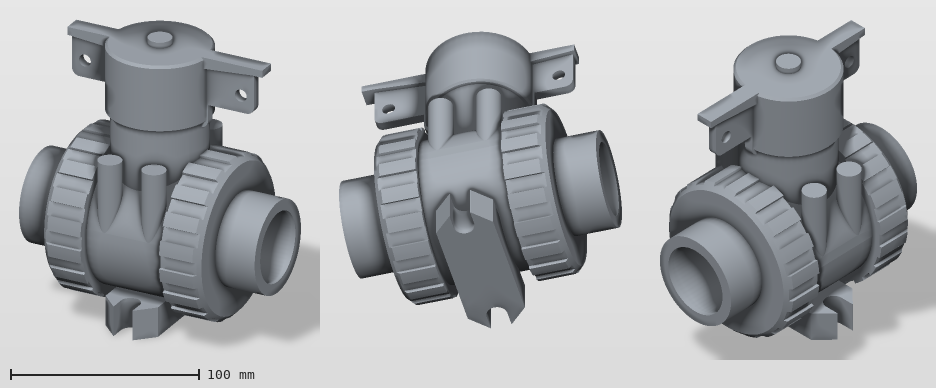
import cadquery as cq


OVERALL_HEIGHT = 159.0
PIPE_LENGTH = 141.0
PIPE_DIAMETER = 52.8
BORE_DIAMETER = 40.0
BODY_DIAMETER = 78.2

NUT_INNER_X = 23.5
NUT_OUTER_X = 47.0
NUT_ROOT_DIAMETER = 88.7
NUT_RIB_DIAMETER = 92.0
NUT_FACE_DIAMETER = 84.7
NUT_RIB_COUNT = 18
NUT_RIB_WIDTH = 8.0

NECK_DIAMETER = 52.8
CAP_DIAMETER = 58.5
CAP_BOTTOM = 65.2
CAP_TOP = 104.1
CAP_TOP_CHAMFER = 1.5
CAP_BOTTOM_CHAMFER = 1.1
BUTTON_DIAMETER = 13.4
BUTTON_TOP_DIAMETER = 13.0
BUTTON_TOP = 107.8

BAR_WIDTH = 10.2
BAR_LEFT = -52.8
BAR_RIGHT = 63.9
BAR_TIP_UNDERSIDE = 100.0
BAR_ROOT_UNDERSIDE = 97.6
WEB_THICKNESS = 5.1
WEB_LEFT = -51.3
WEB_RIGHT = 57.5
WEB_BOTTOM = 75.5
WEB_CORNER_RADIUS = 4.5
WEB_HOLE_DIAMETER = 7.0
WEB_HOLE_EDGE_DISTANCE = 7.8
WEB_HOLE_Z = 85.4
LUG_HALF_LENGTH = 30.2
LUG_BOTTOM = 61.7
LUG_CORNER_RADIUS = 4.8

POST_DIAMETER = 13.4
POST_X = 13.2
POST_Y = 32.0
POST_TOP = 46.1

FOOT_LENGTH = 84.0
FOOT_WIDTH = 31.3
FOOT_TOP = -33.9
FOOT_BOTTOM = BUTTON_TOP - OVERALL_HEIGHT
FOOT_CHAMFER = 9.9
FOOT_SLOT_WIDTH = 11.3
FOOT_SLOT_CENTER_Y = 33.5


def pipe_cylinder(diameter, length):
    """Cylinder along X, centred on the origin."""
    return cq.Workplane("YZ").circle(diameter / 2).extrude(length / 2, both=True)


def upright_cylinder(diameter, bottom, top):
    """Cylinder along Z, centred on the stem axis."""
    return cq.Workplane("XY").workplane(offset=bottom).circle(diameter / 2).extrude(top - bottom)


def union_nut():
    """Ribbed nut on the +X side with a conical bevel at its outer end."""
    length = NUT_OUTER_X - NUT_INNER_X
    start = cq.Workplane("YZ").workplane(offset=NUT_INNER_X)
    nut = start.circle(NUT_ROOT_DIAMETER / 2).extrude(length)

    ribs = (
        start.polarArray(NUT_RIB_DIAMETER / 4, 90, 360, NUT_RIB_COUNT)
        .rect(NUT_RIB_DIAMETER / 2, NUT_RIB_WIDTH)
        .extrude(length)
    )
    bevel = (NUT_RIB_DIAMETER - NUT_FACE_DIAMETER) / 2
    envelope = start.circle(NUT_RIB_DIAMETER / 2).extrude(length).faces(">X").chamfer(bevel)
    return nut.union(ribs).intersect(envelope)


def handle_bar():
    """Flat bar whose underside falls from its tips towards the cap."""
    cap_radius = CAP_DIAMETER / 2
    slope = (BAR_TIP_UNDERSIDE - BAR_ROOT_UNDERSIDE) / (WEB_RIGHT - cap_radius)
    left_underside = BAR_ROOT_UNDERSIDE + slope * (-BAR_LEFT - cap_radius)
    profile = [
        (BAR_LEFT, CAP_TOP),
        (BAR_LEFT, left_underside),
        (-cap_radius, BAR_ROOT_UNDERSIDE),
        (cap_radius, BAR_ROOT_UNDERSIDE),
        (WEB_RIGHT, BAR_TIP_UNDERSIDE),
        (BAR_RIGHT, BAR_TIP_UNDERSIDE),
        (BAR_RIGHT, CAP_TOP),
    ]
    return cq.Workplane("XZ").polyline(profile).close().extrude(BAR_WIDTH / 2, both=True)


def web_plate(left, right, bottom, corner_radius):
    """Upright plate that runs up into the bar, with rounded lower corners."""
    top = BAR_TIP_UNDERSIDE
    plate = cq.Workplane("XY").box(right - left, WEB_THICKNESS, top - bottom)
    plate = plate.edges("|Y and <Z").fillet(corner_radius)
    return plate.translate(((left + right) / 2, 0, (top + bottom) / 2))


def web():
    """Drilled web and the short lug that reaches below the cap."""
    wings = web_plate(WEB_LEFT, WEB_RIGHT, WEB_BOTTOM, WEB_CORNER_RADIUS)
    lug = web_plate(-LUG_HALF_LENGTH, LUG_HALF_LENGTH, LUG_BOTTOM, LUG_CORNER_RADIUS)
    hole_points = [
        (WEB_LEFT + WEB_HOLE_EDGE_DISTANCE, WEB_HOLE_Z),
        (WEB_RIGHT - WEB_HOLE_EDGE_DISTANCE, WEB_HOLE_Z),
    ]
    holes = (
        cq.Workplane("XZ")
        .pushPoints(hole_points)
        .circle(WEB_HOLE_DIAMETER / 2)
        .extrude(WEB_THICKNESS, both=True)
    )
    return wings.cut(holes).union(lug)


def stem_and_handle():
    """Neck, chamfered cap, top button and the handle that crosses the cap."""
    neck = upright_cylinder(NECK_DIAMETER, 0, CAP_TOP - CAP_TOP_CHAMFER)
    cap = upright_cylinder(CAP_DIAMETER, CAP_BOTTOM, CAP_TOP)
    cap = cap.faces(">Z").chamfer(CAP_TOP_CHAMFER).faces("<Z").chamfer(CAP_BOTTOM_CHAMFER)
    button = upright_cylinder(BUTTON_DIAMETER, CAP_TOP - CAP_TOP_CHAMFER, BUTTON_TOP)
    button = button.faces(">Z").chamfer((BUTTON_DIAMETER - BUTTON_TOP_DIAMETER) / 2)
    return cap.union(handle_bar()).union(neck).union(web()).union(button)


def posts():
    """Four upright posts that run into the valve body."""
    return (
        cq.Workplane("XY")
        .rect(2 * POST_X, 2 * POST_Y, forConstruction=True)
        .vertices()
        .circle(POST_DIAMETER / 2)
        .extrude(POST_TOP)
    )


def foot():
    """Chamfered bar across the underside with an open slot at each end."""
    height = FOOT_TOP - FOOT_BOTTOM
    base = cq.Workplane("XY").workplane(offset=FOOT_BOTTOM)
    block = base.rect(FOOT_WIDTH, FOOT_LENGTH).extrude(height).edges("|Z").chamfer(FOOT_CHAMFER)
    slot_reach = FOOT_LENGTH / 2 - FOOT_SLOT_CENTER_Y + FOOT_SLOT_WIDTH
    slot_middle = FOOT_SLOT_CENTER_Y + slot_reach / 2
    slots = (
        base.pushPoints([(0, slot_middle), (0, -slot_middle)])
        .slot2D(slot_reach + FOOT_SLOT_WIDTH, FOOT_SLOT_WIDTH, 90)
        .extrude(height)
    )
    return block.cut(slots)


nut = union_nut()

result = (
    pipe_cylinder(BODY_DIAMETER, NUT_INNER_X + NUT_OUTER_X)
    .union(pipe_cylinder(PIPE_DIAMETER, PIPE_LENGTH))
    .union(stem_and_handle())
    .union(posts())
    .union(foot())
    .union(nut)
    .union(nut.mirror("YZ"))
    .cut(pipe_cylinder(BORE_DIAMETER, PIPE_LENGTH))
)